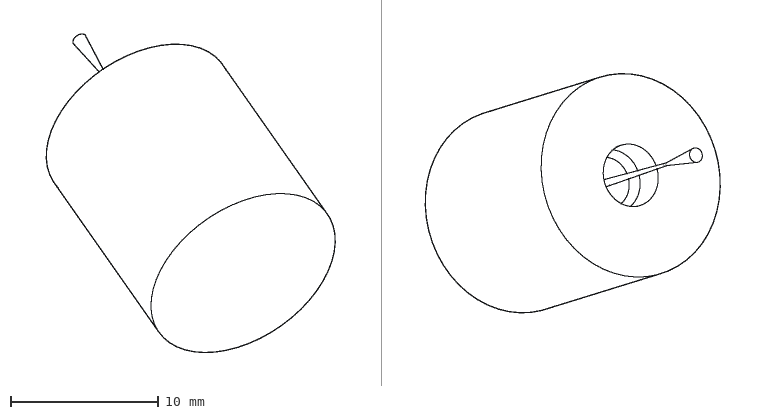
import cadquery as cq

total_length = 25.0
body_length = 16.0
body_diameter = 14.0

mouth_diameter = 4.3
floor_diameter = 3.5
mouth_depth = 2.5
taper_length = 0.8

tip_diameter = 1.0
neck_diameter = 0.2
shank_diameter = 0.5
flare_length = 4.0
neck_length = 0.3

tip_x = -total_length / 2
end_x = total_length / 2
face_x = end_x - body_length
mouth_end_x = face_x + mouth_depth
floor_x = mouth_end_x + taper_length
neck_start_x = tip_x + flare_length
neck_end_x = neck_start_x + neck_length

half_section = (
    cq.Workplane("XZ")
    .moveTo(tip_x, 0)
    .lineTo(tip_x, tip_diameter / 2)
    .lineTo(neck_start_x, neck_diameter / 2)
    .lineTo(neck_end_x, neck_diameter / 2)
    .lineTo(floor_x, shank_diameter / 2)
    .lineTo(floor_x, floor_diameter / 2)
    .lineTo(mouth_end_x, mouth_diameter / 2)
    .lineTo(face_x, mouth_diameter / 2)
    .lineTo(face_x, body_diameter / 2)
    .lineTo(end_x, body_diameter / 2)
    .lineTo(end_x, 0)
    .close()
)

result = half_section.revolve(360, (0, 0, 0), (1, 0, 0))